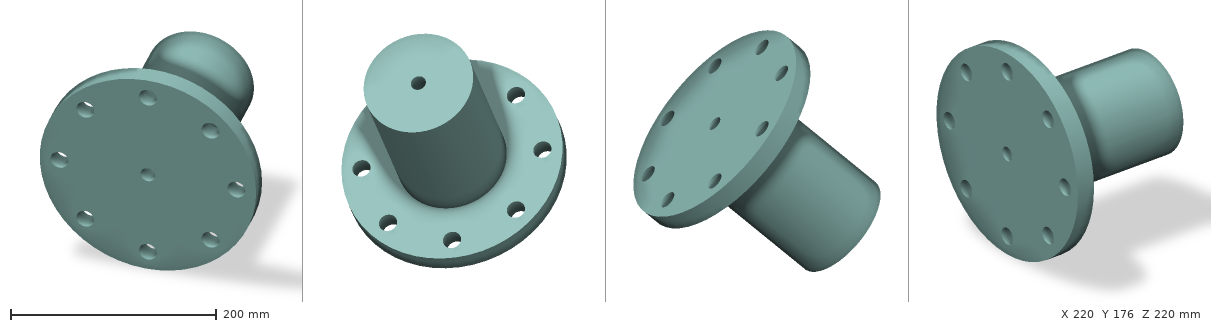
import cadquery as cq

flange_diameter = 220.0
flange_thickness = 20.0

overall_length = 176.0
shaft_diameter = 109.1

bolt_circle_diameter = 180.0
bolt_hole_diameter = 18.0
bolt_hole_count = 8
center_hole_diameter = 15.0


def cylinder_along_y(diameter, length):
    """Cylinder on the Y axis, from the flange's front face at Y = 0 toward +Y."""
    return cq.Workplane("XZ").circle(diameter / 2).extrude(-length)


def bolt_holes():
    """Evenly spaced cutters through the flange, the first one on the X axis."""
    return (
        cq.Workplane("XZ")
        .polarArray(bolt_circle_diameter / 2, 0, 360, bolt_hole_count)
        .circle(bolt_hole_diameter / 2)
        .extrude(-flange_thickness)
    )


flange = cylinder_along_y(flange_diameter, flange_thickness)
shaft = cylinder_along_y(shaft_diameter, overall_length)
center_hole = cylinder_along_y(center_hole_diameter, overall_length)

result = flange.union(shaft).cut(bolt_holes()).cut(center_hole)